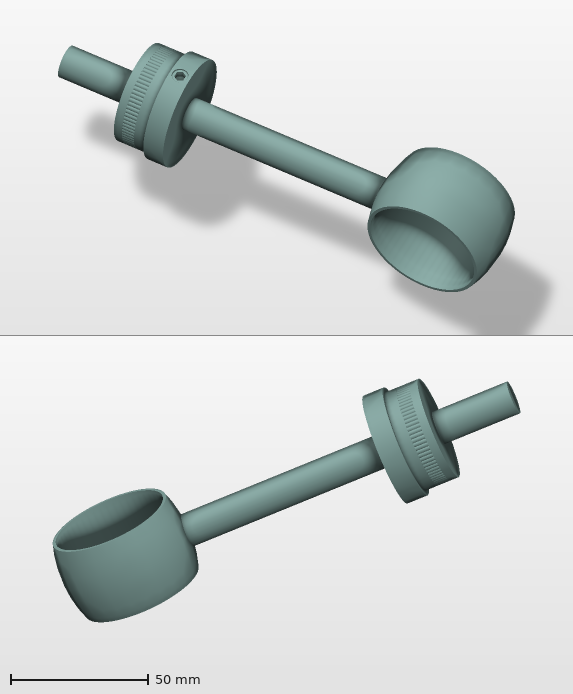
import cadquery as cq
import math

OVERALL_LENGTH = 179.2
ROD_DIAMETER = 12.5

RING_DIAMETER = 50.2
RING_WIDTH = 30.0
RING_BORE = 42.6
RING_CROWN_RADIUS = 44.8

COLLAR_START = 29.7
COLLAR_DIAMETER = 38.7
COLLAR_LENGTH = 13.0
KNURL_OFFSET = 3.2
KNURL_WIDTH = 5.0
KNURL_DEPTH = 0.4
TOOTH_COUNT = 78

FLANGE_DIAMETER = 42.5
FLANGE_LENGTH = 8.0

SCREW_DIAMETER = 6.1
SCREW_RECESS = 0.5
SCREW_CHAMFER = 0.27
SOCKET_ACROSS_CORNERS = 4.3
SOCKET_DEPTH = 2.7

RING_RADIUS = RING_DIAMETER / 2
RING_CENTRE_X = OVERALL_LENGTH - RING_RADIUS
FLANGE_START = COLLAR_START + COLLAR_LENGTH
KNURL_START = COLLAR_START + KNURL_OFFSET
KNURL_END = KNURL_START + KNURL_WIDTH
SCREW_X = FLANGE_START + FLANGE_LENGTH / 2
SCREW_BOTTOM = ROD_DIAMETER / 2
SCREW_TOP = FLANGE_DIAMETER / 2 - SCREW_RECESS


def disc(start_x, diameter, length):
    """Solid cylinder along the X axis, starting at start_x."""
    return cq.Workplane("YZ").workplane(offset=start_x).circle(diameter / 2).extrude(length)


def ring_blank():
    """Crowned barrel around the Y axis, without its bore."""
    half_width = RING_WIDTH / 2
    crown_drop = RING_CROWN_RADIUS - math.sqrt(RING_CROWN_RADIUS**2 - half_width**2)
    end_radius = RING_RADIUS - crown_drop
    return (
        cq.Workplane("XY")
        .moveTo(0, -half_width)
        .lineTo(end_radius, -half_width)
        .threePointArc((RING_RADIUS, 0), (end_radius, half_width))
        .lineTo(0, half_width)
        .close()
        .revolve(360, (0, 0, 0), (0, 1, 0))
        .translate((RING_CENTRE_X, 0, 0))
    )


def make_ring():
    """Crowned barrel with a straight bore."""
    bore = (
        cq.Workplane("XZ")
        .center(RING_CENTRE_X, 0)
        .circle(RING_BORE / 2)
        .extrude(RING_WIDTH / 2, both=True)
    )
    return ring_blank().cut(bore)


def make_rod():
    """Straight rod whose +X end fits the crowned surface of the ring."""
    return disc(0, ROD_DIAMETER, RING_CENTRE_X).cut(ring_blank())


def knurl_band():
    """Band of rounded teeth whose crests lie on the collar surface."""
    crest_radius = COLLAR_DIAMETER / 2
    valley_radius = crest_radius - KNURL_DEPTH
    pitch_angle = 2 * math.pi / TOOTH_COUNT

    def rim_point(radius, steps):
        angle = math.pi / 2 + steps * pitch_angle
        return (radius * math.cos(angle), radius * math.sin(angle))

    outline = (
        cq.Workplane("YZ")
        .workplane(offset=KNURL_START)
        .moveTo(*rim_point(valley_radius, 0))
    )
    for tooth in range(TOOTH_COUNT):
        outline = outline.threePointArc(
            rim_point(crest_radius, tooth + 0.5), rim_point(valley_radius, tooth + 1)
        )
    return outline.close().extrude(KNURL_WIDTH)


def make_collar():
    """Plain rims on both sides of the knurl, bored for the rod."""
    front = disc(COLLAR_START, COLLAR_DIAMETER, KNURL_OFFSET)
    back = disc(KNURL_END, COLLAR_DIAMETER, FLANGE_START - KNURL_END)
    rod_hole = disc(COLLAR_START, ROD_DIAMETER, COLLAR_LENGTH)
    return front.union(knurl_band()).union(back).cut(rod_hole)


def screw_cylinder(bottom, top):
    """Upright cylinder of the screw diameter between two heights."""
    return (
        cq.Workplane("XY")
        .workplane(offset=bottom)
        .center(SCREW_X, 0)
        .circle(SCREW_DIAMETER / 2)
        .extrude(top - bottom)
    )


def make_flange():
    """Plain disc bored for the rod, with a radial screw hole at its top."""
    rod_hole = disc(FLANGE_START, ROD_DIAMETER, FLANGE_LENGTH)
    screw_hole = screw_cylinder(0, FLANGE_DIAMETER / 2)
    return disc(FLANGE_START, FLANGE_DIAMETER, FLANGE_LENGTH).cut(rod_hole).cut(screw_hole)


def make_set_screw():
    """Screw standing on the rod, with a chamfered top and a hexagon socket."""
    blank = screw_cylinder(SCREW_BOTTOM, SCREW_TOP).faces(">Z").chamfer(SCREW_CHAMFER)
    socket = (
        cq.Workplane("XY")
        .workplane(offset=SCREW_TOP - SOCKET_DEPTH)
        .center(SCREW_X, 0)
        .transformed(rotate=(0, 0, 90))
        .polygon(6, SOCKET_ACROSS_CORNERS)
        .extrude(SOCKET_DEPTH)
    )
    return blank.cut(socket)


rod = make_rod()
ring = make_ring()
collar = make_collar()
flange = make_flange()
set_screw = make_set_screw()

result = cq.Compound.makeCompound(
    [rod.val(), ring.val(), collar.val(), flange.val(), set_screw.val()]
)